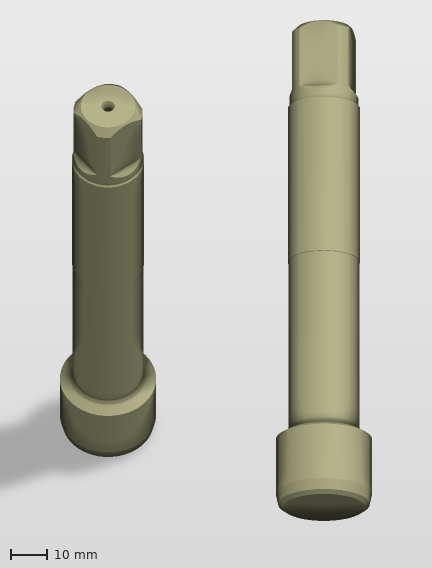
import cadquery as cq
import math

LENGTH = 140.0
FOOT_TOP_Z = 22.4
THREAD_START_Z = 71.7
THREAD_END_Z = 117.0

STEM_DIAMETER = 19.7
THREAD_DIAMETER = 20.0
DRIVE_DIAMETER = 19.2
DRIVE_CHAMFER = 2.1

SQUARE_WIDTH = 16.0
FLAT_BOTTOM_Z = 121.0

CENTRE_DIAMETER = 2.0
CENTRE_MOUTH_DIAMETER = 3.8
CENTRE_DEPTH = 4.2
COUNTERSINK_ANGLE = 60.0
DRILL_TIP_ANGLE = 120.0

FOOT_DIAMETER = 26.6
FOOT_BASE_DIAMETER = 22.7
FOOT_TAPER_DIAMETER = 25.3
FOOT_TAPER_START_Z = 1.0
FOOT_TAPER_END_Z = 3.9
FOOT_SHOULDER_Z = 19.9
COLLAR_DIAMETER = 21.0
COLLAR_Z = 21.5


def revolve_profile(points):
    """Revolve a closed (radius, z) outline about the Z axis."""
    return cq.Workplane("XZ").polyline(points).close().revolve(360, (0, 0), (0, 1))


def make_centre_hole():
    """Cutter with a conical mouth, a straight bore and a drill tip."""
    radius = CENTRE_DIAMETER / 2
    mouth_radius = CENTRE_MOUTH_DIAMETER / 2
    mouth_depth = (mouth_radius - radius) / math.tan(math.radians(COUNTERSINK_ANGLE / 2))
    tip_depth = radius / math.tan(math.radians(DRILL_TIP_ANGLE / 2))
    bore_bottom_z = LENGTH - CENTRE_DEPTH
    return revolve_profile([
        (0, LENGTH),
        (mouth_radius, LENGTH),
        (radius, LENGTH - mouth_depth),
        (radius, bore_bottom_z),
        (0, bore_bottom_z - tip_depth),
    ])


def make_flat_cutter():
    """Cutter for the flat on the +X side, passing fully across the drive end."""
    flat_x = SQUARE_WIDTH / 2
    outer_x = THREAD_DIAMETER / 2
    floor_drop = outer_x - flat_x
    return (
        cq.Workplane("XZ")
        .polyline([
            (flat_x, LENGTH),
            (flat_x, FLAT_BOTTOM_Z),
            (outer_x, FLAT_BOTTOM_Z - floor_drop),
            (outer_x, LENGTH),
        ])
        .close()
        .extrude(THREAD_DIAMETER / 2, both=True)
    )


def make_spindle():
    """Stepped round spindle with a square drive at its upper end."""
    stem_radius = STEM_DIAMETER / 2
    thread_radius = THREAD_DIAMETER / 2
    drive_radius = DRIVE_DIAMETER / 2
    start_bevel = thread_radius - stem_radius
    end_bevel = thread_radius - drive_radius
    spindle = revolve_profile([
        (0, FOOT_TOP_Z),
        (stem_radius, FOOT_TOP_Z),
        (stem_radius, THREAD_START_Z),
        (thread_radius, THREAD_START_Z + start_bevel),
        (thread_radius, THREAD_END_Z - end_bevel),
        (drive_radius, THREAD_END_Z),
        (drive_radius, LENGTH - DRIVE_CHAMFER),
        (drive_radius - DRIVE_CHAMFER, LENGTH),
        (0, LENGTH),
    ])
    flat_cutter = make_flat_cutter()
    for angle in (0, 90, 180, 270):
        spindle = spindle.cut(flat_cutter.rotate((0, 0, 0), (0, 0, 1), angle))
    return spindle.cut(make_centre_hole())


def make_foot():
    """Round foot with a tapered bottom, a conical shoulder and a small collar under the stem."""
    return revolve_profile([
        (0, 0),
        (FOOT_BASE_DIAMETER / 2, 0),
        (FOOT_TAPER_DIAMETER / 2, FOOT_TAPER_START_Z),
        (FOOT_DIAMETER / 2, FOOT_TAPER_END_Z),
        (FOOT_DIAMETER / 2, FOOT_SHOULDER_Z),
        (COLLAR_DIAMETER / 2, COLLAR_Z),
        (STEM_DIAMETER / 2, FOOT_TOP_Z),
        (0, FOOT_TOP_Z),
    ])


spindle = make_spindle()
foot = make_foot()
result = cq.Compound.makeCompound([spindle.val(), foot.val()])